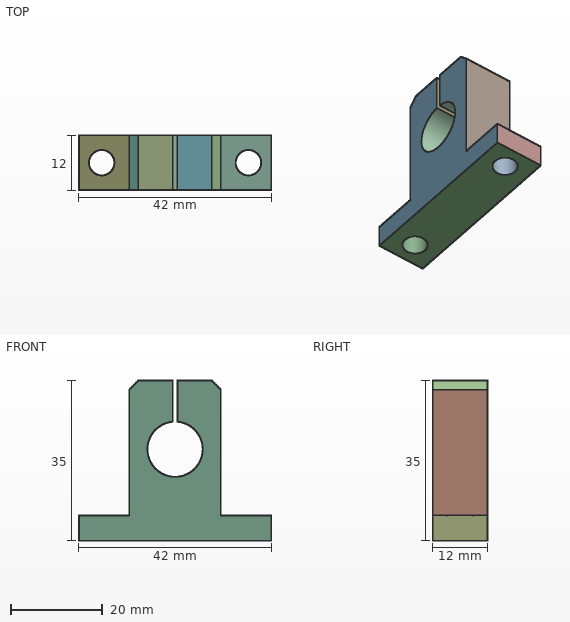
import cadquery as cq

base_length = 42.0
depth = 12.0
base_height = 5.6
total_height = 35.0
pillar_width = 20.0
corner_chamfer = 2.0

shaft_diameter = 12.0
shaft_height = 20.0
slit_width = 1.0

mount_hole_diameter = 5.5
mount_hole_spacing = 32.0


def make_body():
    """Flanged base and pillar, with the two top corners of the pillar chamfered."""
    base = cq.Workplane("XY").box(base_length, depth, base_height, centered=(True, True, False))
    pillar = cq.Workplane("XY").box(pillar_width, depth, total_height, centered=(True, True, False))
    pillar = pillar.edges("|Y and >Z").chamfer(corner_chamfer)
    return base.union(pillar)


def make_shaft_bore():
    """Cylinder for the shaft, running right through the pillar along Y."""
    return (
        cq.Workplane("XZ")
        .center(0, shaft_height)
        .circle(shaft_diameter / 2)
        .extrude(depth / 2, both=True)
    )


def make_clamp_slit():
    """Narrow slit from the bore axis up through the top of the pillar."""
    slit_height = total_height - shaft_height
    slit = cq.Workplane("XY").box(slit_width, depth, slit_height, centered=(True, True, False))
    return slit.translate((0, 0, shaft_height))


def make_mount_holes():
    """Vertical through holes, one in each flange of the base."""
    half_spacing = mount_hole_spacing / 2
    return (
        cq.Workplane("XY")
        .pushPoints([(-half_spacing, 0), (half_spacing, 0)])
        .circle(mount_hole_diameter / 2)
        .extrude(base_height)
    )


result = make_body().cut(make_shaft_bore()).cut(make_clamp_slit()).cut(make_mount_holes())